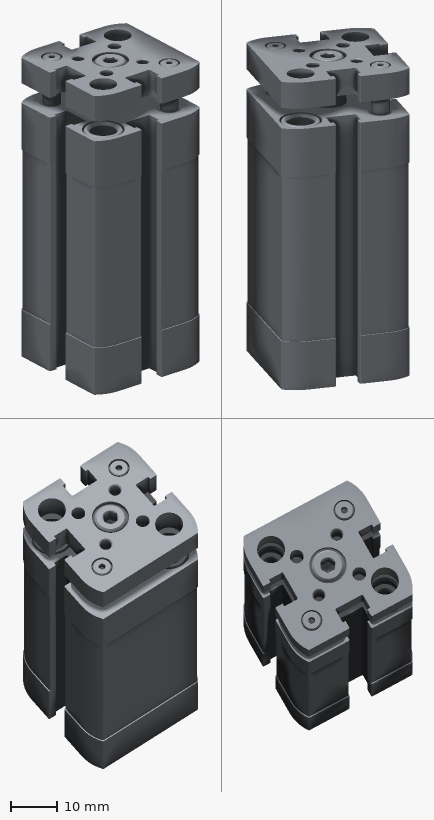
import cadquery as cq
import math

TOTAL_HEIGHT = 70.7
HOUSING_HEIGHT = 60.0
CAP_HEIGHT = 11.0
UPPER_CAP_BOTTOM = HOUSING_HEIGHT - CAP_HEIGHT
PLATE_THICKNESS = 6.0
PLATE_BOTTOM = TOTAL_HEIGHT - PLATE_THICKNESS

HALF_WIDTH = 14.5
TUBE_INSET = 0.25
FLANK_FLAT = 9.05
FLANK_RADIUS = 9.3
CORNER_FILLET = 0.5

SLOT_MOUTH_HALF = 2.7
SLOT_WIDE_HALF = 3.4
SLOT_LIP_FACE = 12.65
SLOT_FLOOR = 9.25
SLOT_FILLET = 0.3
SLOT_ANGLES = (0, 180, 270)

CORNER_PITCH = 18.0
CORNER = CORNER_PITCH / 2
MOUNT_POINTS = [(-CORNER, CORNER), (CORNER, -CORNER)]
GUIDE_POINTS = [(CORNER, CORNER), (-CORNER, -CORNER)]

MOUNT_GROOVE_DIA = 9.2
MOUNT_COLLAR_DIA = 8.5
MOUNT_COLLAR_TIP_DIA = 8.0
MOUNT_GROOVE_DEPTH = 1.8
MOUNT_BORE_RIM_DIA = 7.0
MOUNT_BORE_DIA = 6.0
MOUNT_BORE_DEPTH = 3.7
MOUNT_HOLE_DIA = 3.25
MOUNT_COUNTERSINK_DIA = 4.1

GUIDE_DIA = 4.0
GUIDE_TIP_DIA = 3.6
GUIDE_PLATE_HOLE_DIA = 4.6
GUIDE_CENTRE_HOLE_DIA = 1.5
GUIDE_CENTRE_HOLE_DEPTH = 1.4
GUIDE_SEAT_DIA = 5.5
GUIDE_SEAT_INNER_DIA = 4.6
GUIDE_SEAT_DEPTH = 0.2

PISTON_DIA = 8.0
PISTON_NECK_DIA = 7.0
PISTON_TIP_DIA = 6.0
PISTON_FLATS = 7.0
FLAT_BOTTOM = 61.15
HEX_SIDES = 6
HEX_ACROSS_FLATS = 3.0
HEX_RIM_DIA = 3.5
HEX_DEPTH = 3.5
DRILL_SLOPE = 30

ROD_GROOVE_DEPTH = 1.0

FIXING_PITCH = 9.9
FIXING = FIXING_PITCH / 2
FIXING_DIA = 3.0
THREAD_DIA = 2.5
PLAIN_POINTS = [(-FIXING, FIXING), (FIXING, -FIXING)]
THREADED_POINTS = [(FIXING, FIXING), (-FIXING, -FIXING)]


def cylinder(point, diameter, bottom, top):
    return cq.Workplane("XY", origin=(*point, bottom)).circle(diameter / 2).extrude(top - bottom)


def cone(point, bottom_dia, top_dia, bottom, top):
    solid = cq.Solid.makeCone(bottom_dia / 2, top_dia / 2, top - bottom, cq.Vector(*point, bottom))
    return cq.Workplane(obj=solid)


def ring_groove(point, outer_dia, core_dia, tip_dia, top, depth):
    """Cutter for a ring groove around a core that is chamfered down to its tip diameter."""
    chamfer = (core_dia - tip_dia) / 2
    core = cylinder(point, core_dia, top - depth, top).faces(">Z").chamfer(chamfer)
    return cylinder(point, outer_dia, top - depth, top).cut(core)


def slot_cutter(bottom, height):
    """T-slot that opens toward +X, with rounded floor corners."""
    past_edge = 1.1 * HALF_WIDTH
    half_outline = [
        (SLOT_FLOOR, SLOT_WIDE_HALF),
        (SLOT_LIP_FACE, SLOT_WIDE_HALF),
        (SLOT_LIP_FACE, SLOT_MOUTH_HALF),
        (past_edge, SLOT_MOUTH_HALF),
    ]
    mirrored = [(x, -y) for x, y in reversed(half_outline)]
    base = cq.Workplane("XY", origin=(0, 0, bottom))
    cutter = base.polyline(half_outline + mirrored).close().extrude(height)
    return cutter.edges("|Z and <X").fillet(SLOT_FILLET)


def mount_hole_cutters(point):
    """Grooved collar around a bore, then a countersunk through hole below the bore."""
    top = HOUSING_HEIGHT
    bore_floor = top - MOUNT_BORE_DEPTH
    rim_depth = (MOUNT_BORE_RIM_DIA - MOUNT_BORE_DIA) / 2
    sink_depth = (MOUNT_COUNTERSINK_DIA - MOUNT_HOLE_DIA) / 2
    groove = ring_groove(
        point, MOUNT_GROOVE_DIA, MOUNT_COLLAR_DIA, MOUNT_COLLAR_TIP_DIA, top, MOUNT_GROOVE_DEPTH
    )
    bore_rim = cone(point, MOUNT_BORE_DIA, MOUNT_BORE_RIM_DIA, top - rim_depth, top)
    bore = cylinder(point, MOUNT_BORE_DIA, bore_floor, top)
    countersink = cone(point, MOUNT_HOLE_DIA, MOUNT_COUNTERSINK_DIA, bore_floor - sink_depth, bore_floor)
    through_hole = cylinder(point, MOUNT_HOLE_DIA, 0, bore_floor)
    return groove, bore_rim, bore, countersink, through_hole


def profile_block(inset, bottom, height):
    """Slotted block whose outline lies inside the full outline by the inset."""
    side = HALF_WIDTH - inset
    radius = FLANK_RADIUS - inset
    arc_centre = HALF_WIDTH - FLANK_RADIUS

    def arc_point(y):
        return arc_centre + math.sqrt(radius**2 - (y - FLANK_FLAT) ** 2), y

    end_x, end_y = arc_point(side)
    mid_x, mid_y = arc_point((FLANK_FLAT + side) / 2)
    block = (
        cq.Workplane("XY", origin=(0, 0, bottom))
        .moveTo(side, -FLANK_FLAT)
        .lineTo(side, FLANK_FLAT)
        .threePointArc((mid_x, mid_y), (end_x, end_y))
        .lineTo(-end_x, end_y)
        .threePointArc((-mid_x, mid_y), (-side, FLANK_FLAT))
        .lineTo(-side, -FLANK_FLAT)
        .threePointArc((-mid_x, -mid_y), (-end_x, -end_y))
        .lineTo(end_x, -end_y)
        .threePointArc((mid_x, -mid_y), (side, -FLANK_FLAT))
        .close()
        .extrude(height)
    )
    middle = bottom + height / 2
    for x in (end_x, -end_x):
        for y in (end_y, -end_y):
            block = block.edges(cq.NearestToPointSelector((x, y, middle))).fillet(CORNER_FILLET)
    cutter = slot_cutter(bottom, height)
    for angle in SLOT_ANGLES:
        block = block.cut(cutter.rotate((0, 0, 0), (0, 0, 1), angle))
        cos = math.cos(math.radians(angle))
        sin = math.sin(math.radians(angle))
        for offset in (SLOT_MOUTH_HALF, -SLOT_MOUTH_HALF):
            edge_point = (side * cos - offset * sin, side * sin + offset * cos, middle)
            block = block.edges(cq.NearestToPointSelector(edge_point)).fillet(SLOT_FILLET)
    return block


def make_housing():
    housing = (
        profile_block(0, 0, CAP_HEIGHT)
        .union(profile_block(TUBE_INSET, CAP_HEIGHT, UPPER_CAP_BOTTOM - CAP_HEIGHT))
        .union(profile_block(0, UPPER_CAP_BOTTOM, CAP_HEIGHT))
    )
    top = HOUSING_HEIGHT
    for point in MOUNT_POINTS:
        for cutter in mount_hole_cutters(point):
            housing = housing.cut(cutter)
    for point in GUIDE_POINTS:
        housing = housing.cut(
            cone(point, GUIDE_SEAT_INNER_DIA, GUIDE_SEAT_DIA, top - GUIDE_SEAT_DEPTH, top)
        )
        housing = housing.cut(cylinder(point, GUIDE_DIA, UPPER_CAP_BOTTOM, top))
    return housing.cut(cylinder((0, 0), PISTON_DIA, UPPER_CAP_BOTTOM, top))


def make_piston_rod():
    rod = cylinder((0, 0), PISTON_DIA, UPPER_CAP_BOTTOM, PLATE_BOTTOM)
    flat = PISTON_FLATS / 2
    radius = PISTON_DIA / 2
    flat_section = [
        (flat, PLATE_BOTTOM),
        (flat, FLAT_BOTTOM),
        (radius, FLAT_BOTTOM - (radius - flat)),
        (radius, PLATE_BOTTOM),
    ]
    cutter = cq.Workplane("YZ").polyline(flat_section).close().extrude(radius, both=True)
    return rod.cut(cutter).cut(cutter.mirror("XZ"))


def make_carriage():
    carriage = profile_block(0, PLATE_BOTTOM, PLATE_THICKNESS)
    top = TOTAL_HEIGHT
    for point in MOUNT_POINTS:
        carriage = carriage.cut(cylinder(point, MOUNT_BORE_DIA, PLATE_BOTTOM, top))
    for point in PLAIN_POINTS:
        carriage = carriage.cut(cylinder(point, FIXING_DIA, PLATE_BOTTOM, top))
    for point in THREADED_POINTS:
        sink_depth = (FIXING_DIA - THREAD_DIA) / 2
        carriage = carriage.cut(cylinder(point, THREAD_DIA, PLATE_BOTTOM, top))
        carriage = carriage.cut(cone(point, THREAD_DIA, FIXING_DIA, top - sink_depth, top))
    for point in GUIDE_POINTS:
        carriage = carriage.cut(
            ring_groove(point, GUIDE_PLATE_HOLE_DIA, GUIDE_DIA, GUIDE_TIP_DIA, top, ROD_GROOVE_DEPTH)
        )
        carriage = carriage.cut(cylinder(point, GUIDE_CENTRE_HOLE_DIA, top - GUIDE_CENTRE_HOLE_DEPTH, top))
        carriage = carriage.union(cylinder(point, GUIDE_DIA, UPPER_CAP_BOTTOM, PLATE_BOTTOM))
    carriage = carriage.cut(
        ring_groove((0, 0), PISTON_DIA, PISTON_NECK_DIA, PISTON_TIP_DIA, top, ROD_GROOVE_DEPTH)
    )
    carriage = carriage.union(make_piston_rod())
    return cut_hex_socket(carriage)


def cut_hex_socket(carriage):
    corner_dia = HEX_ACROSS_FLATS / math.cos(math.pi / HEX_SIDES)
    floor = TOTAL_HEIGHT - HEX_DEPTH
    socket = cq.Workplane("XY", origin=(0, 0, floor)).polygon(HEX_SIDES, corner_dia).extrude(HEX_DEPTH)
    drill_depth = HEX_ACROSS_FLATS / 2 * math.tan(math.radians(DRILL_SLOPE))
    drill_point = cone((0, 0), 0, HEX_ACROSS_FLATS, floor - drill_depth, floor)
    rim_depth = (HEX_RIM_DIA - HEX_ACROSS_FLATS) / 2
    rim = cone((0, 0), HEX_ACROSS_FLATS, HEX_RIM_DIA, TOTAL_HEIGHT - rim_depth, TOTAL_HEIGHT)
    return carriage.cut(socket).cut(drill_point).cut(rim)


housing = make_housing()
carriage = make_carriage()

result = cq.Compound.makeCompound([housing.val(), carriage.val()])